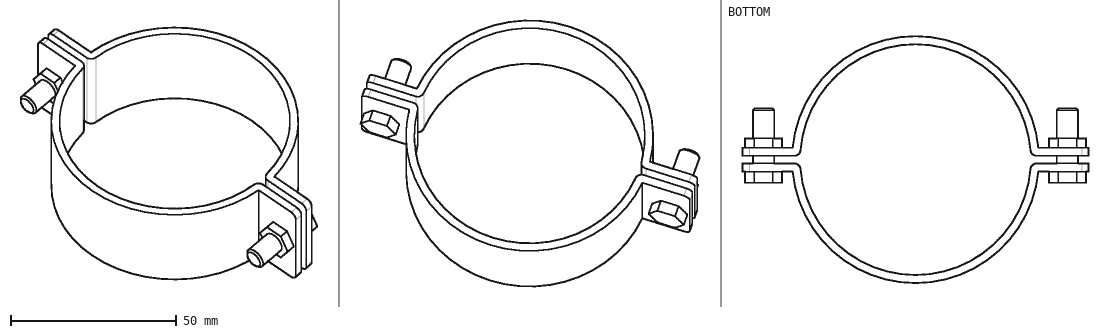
import cadquery as cq
import math

overall_length = 104.7
band_width = 30.0
outer_radius = 37.4
thickness = 2.5
gap = 2.2
bend_radius = 2.0
ear_corner_radius = 2.0

bolt_x = 46.0
shank_diameter = 6.5
hex_across_flats = 9.7
head_height = 3.5
nut_height = 2.8
bolt_tip_y = -15.6
tip_chamfer = 0.6

inner_radius = outer_radius - thickness
ear_end_x = overall_length / 2
ear_inner_y = gap / 2
ear_outer_y = ear_inner_y + thickness
hex_corner_diameter = hex_across_flats / math.cos(math.radians(30))


def make_clamp_half(side):
    """Bent strap with two ears; side is +1 for the +Y half and -1 for the -Y half."""
    outer_joint_x = math.sqrt(outer_radius**2 - ear_outer_y**2)
    inner_joint_x = math.sqrt(inner_radius**2 - ear_inner_y**2)
    strap = (
        cq.Workplane("XY")
        .workplane(offset=-band_width / 2)
        .moveTo(-ear_end_x, side * ear_inner_y)
        .lineTo(-inner_joint_x, side * ear_inner_y)
        .threePointArc((0, side * inner_radius), (inner_joint_x, side * ear_inner_y))
        .lineTo(ear_end_x, side * ear_inner_y)
        .lineTo(ear_end_x, side * ear_outer_y)
        .lineTo(outer_joint_x, side * ear_outer_y)
        .threePointArc((0, side * outer_radius), (-outer_joint_x, side * ear_outer_y))
        .lineTo(-ear_end_x, side * ear_outer_y)
        .close()
        .extrude(band_width)
    )
    for x in (-inner_joint_x, inner_joint_x):
        bend = cq.selectors.NearestToPointSelector((x, side * ear_inner_y, 0))
        strap = strap.edges("|Z").edges(bend).fillet(bend_radius)
    strap = strap.faces("<X or >X").edges("|Y").fillet(ear_corner_radius)
    bolt_holes = (
        cq.Workplane("XZ")
        .pushPoints([(-bolt_x, 0), (bolt_x, 0)])
        .circle(shank_diameter / 2)
        .extrude(ear_outer_y, both=True)
    )
    return strap.cut(bolt_holes)


def make_hex(x, start_y, height):
    """Hexagonal prism growing toward +Y from start_y, with corners along X."""
    return (
        cq.Workplane("XZ", origin=(x, start_y, 0))
        .polygon(6, hex_corner_diameter)
        .extrude(-height)
    )


def make_bolt(x):
    """Hex bolt with its head on the +Y ear and its nut on the -Y ear."""
    shank = (
        cq.Workplane("XZ", origin=(x, ear_outer_y, 0))
        .circle(shank_diameter / 2)
        .extrude(ear_outer_y - bolt_tip_y)
        .faces("<Y")
        .chamfer(tip_chamfer)
    )
    head = make_hex(x, ear_outer_y, head_height)
    nut = make_hex(x, -ear_outer_y - nut_height, nut_height)
    return shank.union(head).union(nut)


clamp_halves = [make_clamp_half(side) for side in (1, -1)]
bolts = [make_bolt(x) for x in (-bolt_x, bolt_x)]

result = cq.Compound.makeCompound([body.val() for body in clamp_halves + bolts])